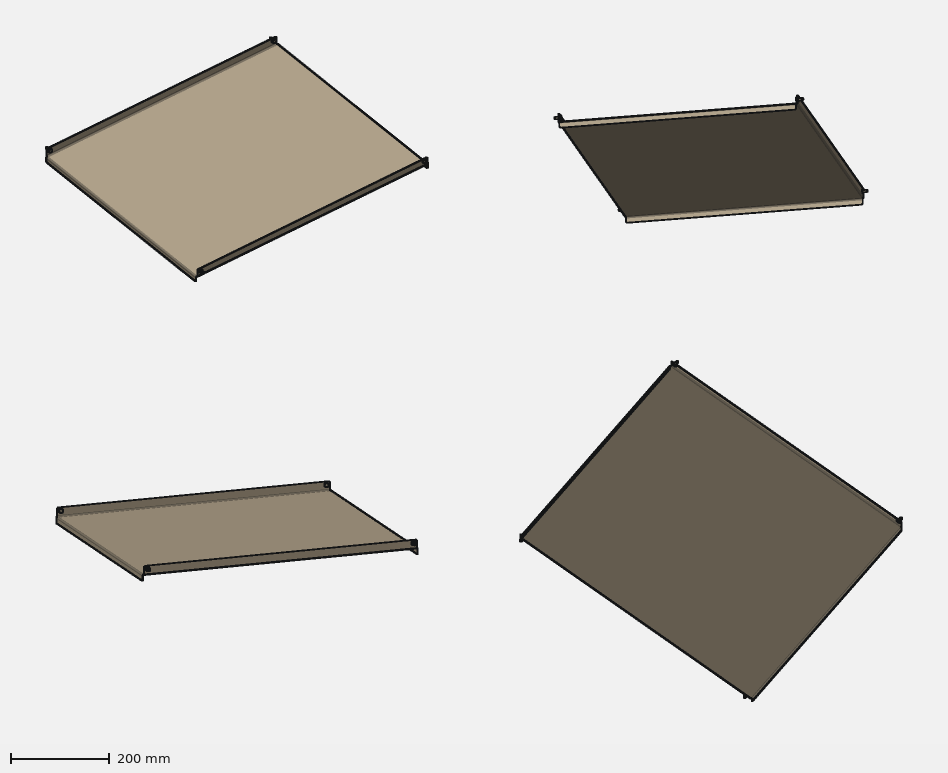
import cadquery as cq
import math

LENGTH_Y = 598.0
PIN_SPAN = 519.0
HEIGHT = 32.0

SHEET = 1.5
BEND_RADIUS = 2.7
TRAY_WIDTH = 499.0
WALL_HEIGHT = 20.0
CORNER_CHAMFER = 2.5

PIN_INSET = 11.0
PIN_DROP = 7.0
HEAD_DIAMETER = 9.0
HEAD_PROTRUSION = 3.0
SHANK_DIAMETER = 5.5
TIP_DIAMETER = 2.5
TIP_LENGTH = 2.5

INNER_RADIUS = BEND_RADIUS - SHEET
FLOOR_BOTTOM = HEIGHT - WALL_HEIGHT
FLOOR_TOP = FLOOR_BOTTOM + SHEET
FLOOR_X = TRAY_WIDTH - 2 * BEND_RADIUS
FLOOR_Y = LENGTH_Y - 2 * BEND_RADIUS
PIN_Y = LENGTH_Y / 2 - PIN_INSET
PIN_Z = HEIGHT - PIN_DROP
WALL_X = TRAY_WIDTH / 2
HEAD_START_X = WALL_X - SHEET - HEAD_PROTRUSION
TIP_X = PIN_SPAN / 2


def make_floor():
    return cq.Workplane("XY", origin=(0, 0, FLOOR_BOTTOM)).rect(FLOOR_X, FLOOR_Y).extrude(SHEET)


def folded_edge(plane, floor_half, floor_face, other_face, free_edge, length):
    """Quarter bend and straight flange; floor_face is the floor side that the outside of the bend runs into."""
    fold = 1 if free_edge > floor_face else -1
    bend_z = floor_face + fold * BEND_RADIUS
    outer = floor_half + BEND_RADIUS
    inner = floor_half + INNER_RADIUS
    diagonal = math.cos(math.radians(45))
    outer_mid = (floor_half + BEND_RADIUS * diagonal, bend_z - fold * BEND_RADIUS * diagonal)
    inner_mid = (floor_half + INNER_RADIUS * diagonal, bend_z - fold * INNER_RADIUS * diagonal)
    return (
        cq.Workplane(plane)
        .moveTo(floor_half, floor_face)
        .threePointArc(outer_mid, (outer, bend_z))
        .lineTo(outer, free_edge)
        .lineTo(inner, free_edge)
        .lineTo(inner, bend_z)
        .threePointArc(inner_mid, (floor_half, other_face))
        .close()
        .extrude(length / 2, both=True)
    )


def make_wall():
    """Side wall folded up along the +X edge, with a hole for each pin head."""
    wall = folded_edge("XZ", FLOOR_X / 2, FLOOR_BOTTOM, FLOOR_TOP, HEIGHT, FLOOR_Y)
    wall = wall.edges("|X and >Z").chamfer(CORNER_CHAMFER)
    holes = (
        cq.Workplane("YZ")
        .pushPoints([(-PIN_Y, PIN_Z), (PIN_Y, PIN_Z)])
        .circle(HEAD_DIAMETER / 2)
        .extrude(TRAY_WIDTH)
    )
    return wall.cut(holes)


def make_skirt():
    """End skirt folded down along the +Y edge."""
    skirt = folded_edge("YZ", FLOOR_Y / 2, FLOOR_TOP, FLOOR_BOTTOM, 0, FLOOR_X)
    return skirt.edges("|Y and <Z").chamfer(CORNER_CHAMFER)


def make_tray():
    wall = make_wall()
    skirt = make_skirt()
    return (
        make_floor()
        .union(wall)
        .union(wall.mirror("YZ"))
        .union(skirt)
        .union(skirt.mirror("XZ"))
    )


def make_pin(side, y):
    """Stepped pin with its head flush with the outside of the wall; side is +1 or -1 along X."""
    head_radius = HEAD_DIAMETER / 2
    shank_radius = SHANK_DIAMETER / 2
    tip_radius = TIP_DIAMETER / 2
    profile = (
        cq.Workplane("XY", origin=(0, y, PIN_Z))
        .moveTo(HEAD_START_X, 0)
        .lineTo(HEAD_START_X, head_radius)
        .lineTo(WALL_X, head_radius)
        .lineTo(WALL_X, shank_radius)
        .lineTo(TIP_X - TIP_LENGTH, shank_radius)
        .lineTo(TIP_X, tip_radius)
        .lineTo(TIP_X, 0)
        .close()
    )
    pin = profile.revolve(360, (0, 0), (1, 0))
    return pin if side > 0 else pin.mirror("YZ")


tray = make_tray()
pins = [make_pin(side, y) for side in (-1, 1) for y in (-PIN_Y, PIN_Y)]

result = cq.Compound.makeCompound([tray.val(), *[pin.val() for pin in pins]])